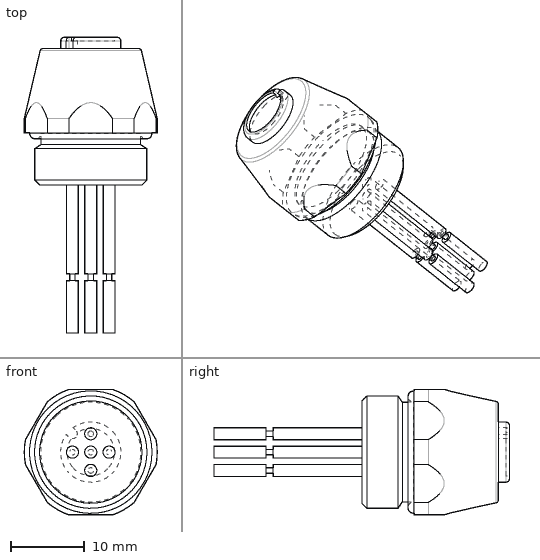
import cadquery as cq
import math

overall_length = 40.0
wire_length = 20.0
body_length = overall_length - wire_length

sleeve_diameter = 15.2
sleeve_bevel = 0.7
sleeve_end = 4.9
groove_diameter = 13.5
groove_start = 5.5

seal_section_diameter = 1.5
seal_centre = 7.0

nut_diameter = 18.0
nut_across_flats = 17.0
nut_start = 7.1
nut_cone_start = 9.0
nut_end = 18.5
nut_end_diameter = 13.6
nut_end_round = 0.4

socket_diameter = 8.15
socket_round = 0.5
socket_recess_diameter = 6.4
socket_recess_depth = socket_round

keyway_width = 1.3
keyway_floor_radius = 2.85
keyway_angle = 135.0

wire_diameter = 1.65
wire_pitch = 2.5
core_diameter = 0.75
gap_start = 12.0
gap_length = 0.9


def rod(diameter, start, end, x=0.0, z=0.0):
    """Cylinder along +Y between two axial positions."""
    base = cq.Workplane("XZ", origin=(x, start, z))
    return base.circle(diameter / 2).extrude(start - end)


def make_body():
    """Revolved sleeve, groove and seal ring."""
    sleeve_radius = sleeve_diameter / 2
    groove_radius = groove_diameter / 2
    seal_outer_radius = groove_radius + seal_section_diameter
    profile = (
        cq.Workplane("XY")
        .moveTo(0, 0)
        .lineTo(sleeve_radius - sleeve_bevel, 0)
        .lineTo(sleeve_radius, sleeve_bevel)
        .lineTo(sleeve_radius, sleeve_end)
        .lineTo(groove_radius, groove_start)
        .lineTo(groove_radius, seal_centre)
        .threePointArc(
            (groove_radius + seal_section_diameter / 2, seal_centre - seal_section_diameter / 2),
            (seal_outer_radius, seal_centre),
        )
        .lineTo(seal_outer_radius, nut_start)
        .lineTo(0, nut_start)
        .close()
    )
    return profile.revolve(360, (0, 0, 0), (0, 1, 0))


def make_nut():
    """Conical nut with six flats, two of them facing +Z and -Z."""
    profile = (
        cq.Workplane("XY")
        .moveTo(0, nut_start)
        .lineTo(nut_diameter / 2, nut_start)
        .lineTo(nut_diameter / 2, nut_cone_start)
        .lineTo(nut_end_diameter / 2, nut_end)
        .lineTo(0, nut_end)
        .close()
    )
    cone = profile.revolve(360, (0, 0, 0), (0, 1, 0))
    cone = cone.faces(">Y").edges().fillet(nut_end_round)
    across_corners = nut_across_flats / math.cos(math.radians(30))
    hexagon = (
        cq.Workplane("XZ", origin=(0, nut_start, 0))
        .polygon(6, across_corners)
        .extrude(nut_start - nut_end)
    )
    return cone.intersect(hexagon)


def make_socket():
    """Round boss with a shallow recess and one keyway cut down to the end of the nut."""
    socket = rod(socket_diameter, nut_start, body_length)
    socket = socket.faces(">Y").edges().fillet(socket_round)
    recess = rod(socket_recess_diameter, body_length - socket_recess_depth, body_length)
    slot_length = socket_diameter
    slot_middle_radius = keyway_floor_radius + slot_length / 2
    keyway = (
        cq.Workplane("XZ", origin=(0, nut_end, 0))
        .transformed(rotate=(0, 0, keyway_angle))
        .center(slot_middle_radius, 0)
        .slot2D(slot_length, keyway_width)
        .extrude(nut_end - body_length)
    )
    return socket.cut(recess).cut(keyway)


def make_wire(x, z):
    """Insulated wire whose bare core bridges a gap in the insulation."""
    gap_near = -gap_start
    gap_far = gap_near - gap_length
    near_length = rod(wire_diameter, gap_near, 0, x, z)
    core = rod(core_diameter, gap_far, gap_near, x, z)
    far_length = rod(wire_diameter, -wire_length, gap_far, x, z)
    return near_length.union(core).union(far_length)


result = make_body().union(make_nut()).union(make_socket())

wire_centres = [
    (0, 0),
    (wire_pitch, 0),
    (-wire_pitch, 0),
    (0, wire_pitch),
    (0, -wire_pitch),
]
for wire_x, wire_z in wire_centres:
    result = result.union(make_wire(wire_x, wire_z))